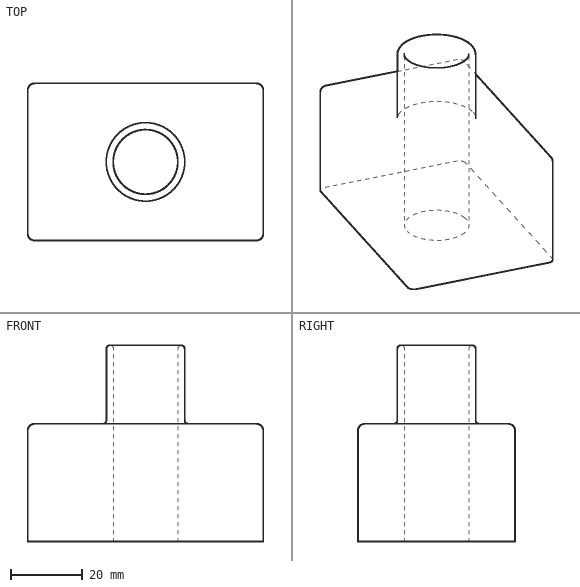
import cadquery as cq

length = 66.0
width = 44.0
block_height = 33.0
block_round = 2.0

total_height = 55.0
tube_diameter = 22.0
wall_thickness = 2.0
base_fillet = 1.0

tube_radius = tube_diameter / 2
bore_radius = tube_radius - wall_thickness
rim_round = wall_thickness / 2


def make_block():
    """Block with rounded upright and top edges, a sharp bottom outline and a through bore."""
    block = cq.Workplane("XY").box(length, width, block_height, centered=(True, True, False))
    block = block.edges("|Z or >Z").fillet(block_round)
    bore = cq.Workplane("XY").circle(bore_radius).extrude(block_height)
    return block.cut(bore)


def make_tube():
    """Revolved tube wall with a flared base and a fully rounded rim."""
    rim_start = total_height - rim_round
    return (
        cq.Workplane("XZ")
        .moveTo(bore_radius, block_height)
        .lineTo(tube_radius + base_fillet, block_height)
        .radiusArc((tube_radius, block_height + base_fillet), base_fillet)
        .lineTo(tube_radius, rim_start)
        .radiusArc((tube_radius - rim_round, total_height), -rim_round)
        .radiusArc((bore_radius, rim_start), -rim_round)
        .close()
        .revolve(360, (0, 0, 0), (0, 1, 0))
    )


result = make_block().union(make_tube())